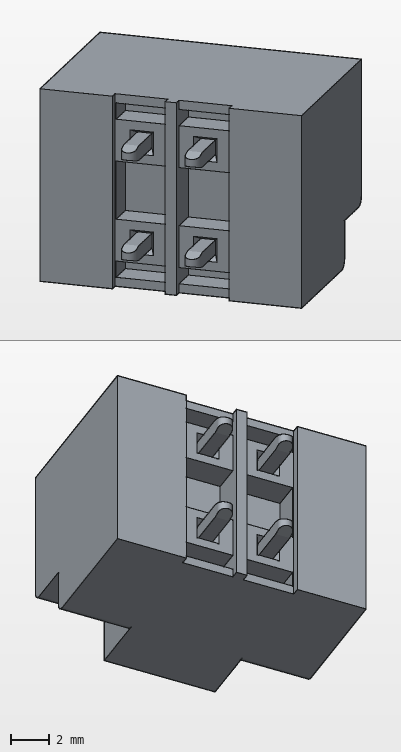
import cadquery as cq

body_width = 14.4
body_depth = 10.0
body_height = 10.6

column_pitch = 3.5
row_pitch = 5.5
mid_height = body_height / 2
column_centres = [-column_pitch / 2, column_pitch / 2]
row_centres = [mid_height - row_pitch / 2, mid_height + row_pitch / 2]

channel_width = 6.42
channel_depth = 0.45
rib_width = 0.62

pocket_depth = 1.54
pocket_side_inset = 0.06
lip_height = 0.5
block_height = 2.3

opening_size = 1.3
opening_depth = 0.5

pin_size = 0.8
pin_projection = 2.0
tip_length = 0.72
tip_thickness = 0.4

step_width = (body_width - channel_width) / 2
step_depth = 2.8
step_height = 2.59
step_round = 0.5


def box_between(x_range, y_range, z_range):
    """Box spanning the given (low, high) ranges."""
    corner = (x_range[0], y_range[0], z_range[0])
    size = [r[1] - r[0] for r in (x_range, y_range, z_range)]
    return cq.Workplane("XY").box(*size, centered=False).translate(corner)


def stepped_body():
    """Plain block with both lower rear corners stepped away."""
    body = box_between(
        (-body_width / 2, body_width / 2), (0, body_depth), (0, body_height)
    )
    step_front = body_depth - step_depth
    step = (
        cq.Workplane("YZ")
        .moveTo(step_front - step_round, 0)
        .radiusArc((step_front, step_round), -step_round)
        .lineTo(step_front, step_height)
        .lineTo(body_depth - step_round, step_height)
        .radiusArc((body_depth, step_height + step_round), -step_round)
        .lineTo(body_depth, 0)
        .close()
        .extrude(step_width)
    )
    left_step = step.translate((-body_width / 2, 0, 0))
    return body.cut(left_step).cut(left_step.mirror("YZ"))


def channel_half():
    """Right half of the front channel with its three deeper pockets."""
    inner = rib_width / 2
    outer = channel_width / 2
    half = box_between((inner, outer), (0, channel_depth), (0, body_height))

    lower_row, upper_row = row_centres
    half_block = block_height / 2
    pocket_heights = [
        (lip_height, lower_row - half_block),
        (lower_row + half_block, upper_row - half_block),
        (upper_row + half_block, body_height - lip_height),
    ]
    for heights in pocket_heights:
        pocket = box_between(
            (inner, outer - pocket_side_inset),
            (0, channel_depth + pocket_depth),
            heights,
        )
        half = half.union(pocket)
    return half


def pin_opening():
    """Funnel that narrows from the channel floor down to the pin."""
    return (
        cq.Workplane("XZ", origin=(0, channel_depth, 0))
        .rect(opening_size, opening_size)
        .workplane(offset=-opening_depth)
        .rect(pin_size, pin_size)
        .loft(ruled=True)
    )


def pin():
    """Pin along y, from the bottom of its opening to the rounded tip."""
    half = pin_size / 2
    root = channel_depth + opening_depth
    side_profile = (
        cq.Workplane("YZ")
        .moveTo(root, -half)
        .lineTo(tip_length - pin_projection, -half)
        .lineTo(-pin_projection, -tip_thickness / 2)
        .lineTo(-pin_projection, tip_thickness / 2)
        .lineTo(tip_length - pin_projection, half)
        .lineTo(root, half)
        .close()
        .extrude(half, both=True)
    )
    plan_profile = (
        cq.Workplane("XY")
        .moveTo(-half, root)
        .lineTo(-half, half - pin_projection)
        .threePointArc((0, -pin_projection), (half, half - pin_projection))
        .lineTo(half, root)
        .close()
        .extrude(half, both=True)
    )
    return side_profile.intersect(plan_profile)


result = stepped_body()
right_channel = channel_half()
result = result.cut(right_channel).cut(right_channel.mirror("YZ"))
for x in column_centres:
    for z in row_centres:
        result = result.cut(pin_opening().translate((x, 0, z)))
        result = result.union(pin().translate((x, 0, z)))